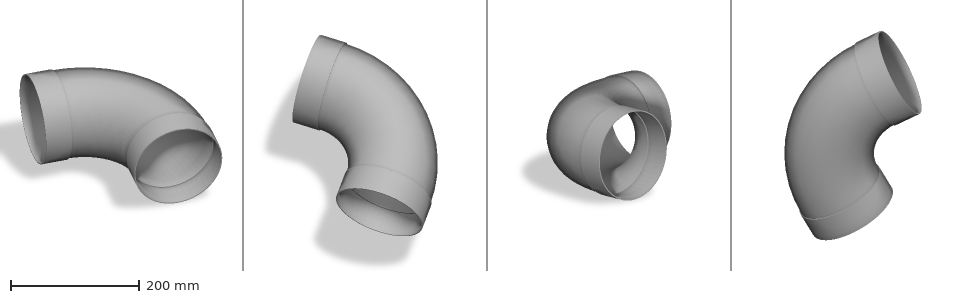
import cadquery as cq

overall_length = 253.5
collar_diameter = 143.5
collar_length = 41.8
socket_diameter = 140.0
wall = 1.8

bend_diameter = socket_diameter
bore_diameter = bend_diameter - 2 * wall
bend_radius = overall_length - collar_diameter / 2 - collar_length

inlet_plane = cq.Plane(origin=(-bend_radius, 0, 0), xDir=(1, 0, 0), normal=(0, -1, 0))
outlet_plane = cq.Plane(origin=(0, bend_radius, 0), xDir=(0, 1, 0), normal=(1, 0, 0))


def bend():
    """Hollow quarter bend with a constant wall."""
    middle = bend_radius * 0.5**0.5
    centre_line = (
        cq.Workplane("XY")
        .moveTo(-bend_radius, 0)
        .threePointArc((-middle, middle), (0, bend_radius))
    )
    return (
        cq.Workplane(inlet_plane)
        .circle(bend_diameter / 2)
        .circle(bore_diameter / 2)
        .sweep(centre_line)
    )


def collar(plane):
    """Collar with a wide socket and a thin floor joining it to the bend."""
    body = (
        cq.Workplane(plane)
        .circle(collar_diameter / 2)
        .circle(bore_diameter / 2)
        .extrude(collar_length)
    )
    socket = (
        cq.Workplane(plane)
        .workplane(offset=wall)
        .circle(socket_diameter / 2)
        .extrude(collar_length - wall)
    )
    return body.cut(socket)


result = bend().union(collar(inlet_plane)).union(collar(outlet_plane))